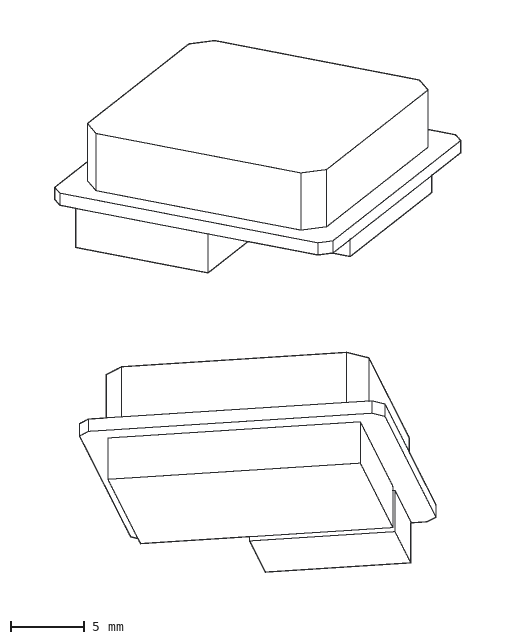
import cadquery as cq

board_side = 21.0
board_thickness = 0.9
board_corner_chamfer = 0.76

upper_side = 18.06
upper_corner_chamfer = 1.3

lower_height = 2.99
lower_width = 17.35
rear_block_back_y = upper_side / 2
rear_block_length = 12.45
block_gap = 0.78
front_block_width = 10.0
front_block_length = 6.05

overall_height = 8.09
board_bottom_z = lower_height
board_top_z = board_bottom_z + board_thickness
upper_height = overall_height - board_top_z

lower_left_x = -lower_width / 2
rear_block_front_y = rear_block_back_y - rear_block_length
front_block_front_y = rear_block_front_y - block_gap - front_block_length


def chamfered_square(side, height, chamfer, bottom_z):
    """Square plate centred on the Z axis with chamfered vertical edges."""
    plate = cq.Workplane("XY", origin=(0, 0, bottom_z)).rect(side, side).extrude(height)
    return plate.edges("|Z").chamfer(chamfer)


def lower_block(front_y, width, length):
    """Rectangular block hanging from the board, starting at the shared left side."""
    return cq.Workplane("XY", origin=(lower_left_x, front_y, 0)).box(
        width, length, lower_height, centered=False
    )


board = chamfered_square(board_side, board_thickness, board_corner_chamfer, board_bottom_z)
upper_block = chamfered_square(upper_side, upper_height, upper_corner_chamfer, board_top_z)
rear_block = lower_block(rear_block_front_y, lower_width, rear_block_length)
front_block = lower_block(front_block_front_y, front_block_width, front_block_length)

result = board.union(upper_block).union(rear_block).union(front_block)